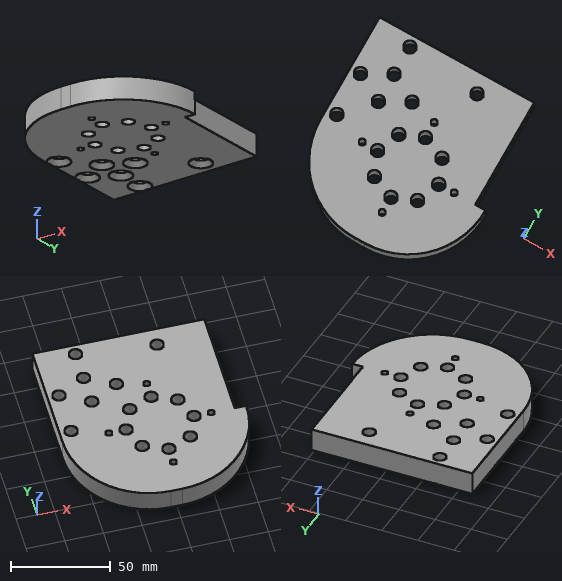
import cadquery as cq
import math

thickness = 12.7
corner_radius = 44.5
overall_width = 94.9
overall_length = 104.5
left_x = -50.3
right_x = left_x + overall_width
shoulder_x = left_x + 2 * corner_radius
front_y = -corner_radius
back_y = front_y + overall_length

screw_diameter = 6.6
countersink_diameter = 12.3
countersink_depth = (countersink_diameter - screw_diameter) / 2

screw_ring_radius = 17.5
screw_ring_count = 8
pin_diameter = 3.3
pin_ring_radius = 26.4
pin_ring_count = 4

edge_distance = 6.0
column_spacing = 14.8
row_pitch = 16.0
left_column_x = left_x + edge_distance
middle_column_x = left_column_x + column_spacing
right_column_x = middle_column_x + column_spacing
first_row_y = back_y - edge_distance
stagger_y = first_row_y - 1.5 * row_pitch
staggered_points = [(middle_column_x, first_row_y - row * row_pitch) for row in range(3)]
staggered_points += [
    (left_column_x, stagger_y),
    (right_column_x, stagger_y),
    (left_column_x, stagger_y - 1.5 * row_pitch),
]
lone_screw_point = (11.5, 49.7)


def ring_points(radius, count):
    """Evenly spaced points on a circle about the origin."""
    angles = [2 * math.pi * index / count for index in range(count)]
    return [(radius * math.cos(angle), radius * math.sin(angle)) for angle in angles]


def make_plate():
    """Plate with two quarter-round front corners and a stepped right side."""
    left_center_x = left_x + corner_radius
    right_center_x = right_x - corner_radius
    diagonal = corner_radius * math.sqrt(0.5)
    return (
        cq.Workplane("XY")
        .moveTo(left_x, back_y)
        .lineTo(left_x, 0)
        .threePointArc((left_center_x - diagonal, -diagonal), (left_center_x, front_y))
        .lineTo(right_center_x, front_y)
        .threePointArc((right_center_x + diagonal, -diagonal), (right_x, 0))
        .lineTo(shoulder_x, 0)
        .lineTo(shoulder_x, back_y)
        .close()
        .extrude(thickness)
    )


def through_holes(points, diameter):
    """Cylinders that cut straight through the plate."""
    return cq.Workplane("XY").pushPoints(points).circle(diameter / 2).extrude(thickness)


def countersink(point):
    """Cone that is widest at the underside of the plate."""
    cone = cq.Solid.makeCone(countersink_diameter / 2, screw_diameter / 2, countersink_depth)
    return cone.translate(cq.Vector(*point))


countersunk_points = staggered_points + [lone_screw_point]
screw_points = countersunk_points + ring_points(screw_ring_radius, screw_ring_count)

result = make_plate()
result = result.cut(through_holes(screw_points, screw_diameter))
result = result.cut(through_holes(ring_points(pin_ring_radius, pin_ring_count), pin_diameter))
for point in countersunk_points:
    result = result.cut(cq.Workplane(countersink(point)))